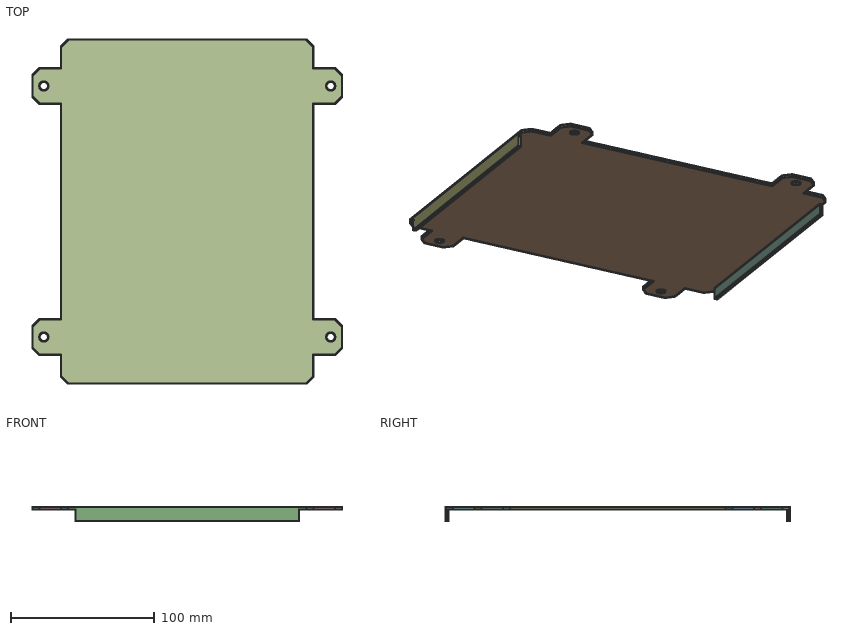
import cadquery as cq

plate_width = 176.0
plate_length = 240.0
overall_width = 216.0
overall_height = 10.0
sheet_thickness = 2.0
plate_corner_chamfer = 5.0

tab_width = 25.0
tab_pitch = 175.0
tab_corner_chamfer = 5.0

hole_diameter = 6.0
hole_pitch = 200.0

flange_length = 156.0

plate_bottom = overall_height - sheet_thickness


def sheet(width, length, corner_chamfer):
    """Flat rectangle of sheet with four chamfered corners."""
    return (
        cq.Workplane("XY", origin=(0, 0, plate_bottom))
        .rect(width, length)
        .extrude(sheet_thickness)
        .edges("|Z")
        .chamfer(corner_chamfer)
    )


def tab_pair(y_center):
    """Strip across the plate whose two ends form opposite tabs."""
    return sheet(overall_width, tab_width, tab_corner_chamfer).translate((0, y_center, 0))


def flange(side):
    """Vertical flange flush with one short side of the plate; side is +1 or -1."""
    y_center = side * (plate_length - sheet_thickness) / 2
    return (
        cq.Workplane("XY")
        .center(0, y_center)
        .rect(flange_length, sheet_thickness)
        .extrude(overall_height)
    )


def fixing_holes():
    """Cutters for the four through holes."""
    return (
        cq.Workplane("XY")
        .rarray(hole_pitch, tab_pitch, 2, 2)
        .circle(hole_diameter / 2)
        .extrude(overall_height)
    )


body = sheet(plate_width, plate_length, plate_corner_chamfer)
for side in (-1, 1):
    body = body.union(tab_pair(side * tab_pitch / 2))
    body = body.union(flange(side))

result = body.cut(fixing_holes())